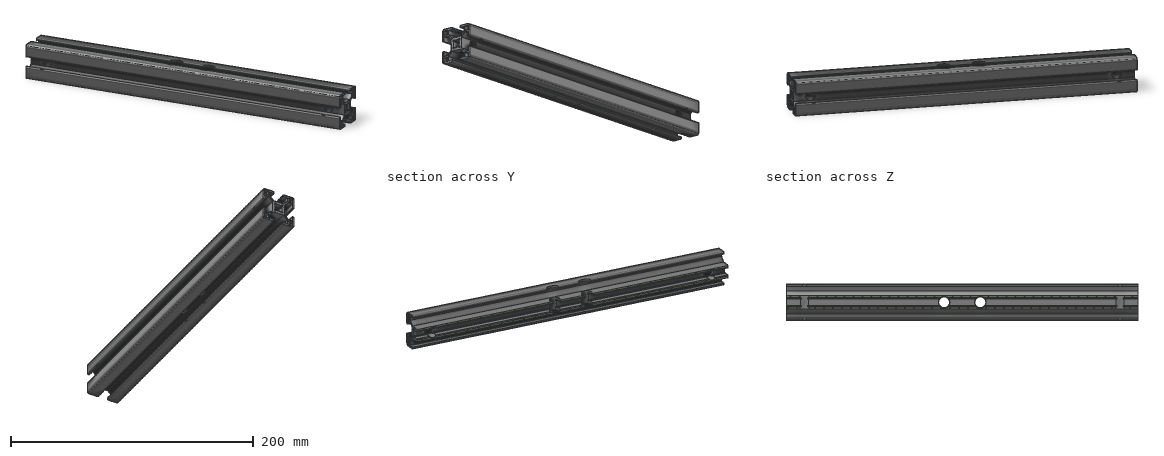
import cadquery as cq
import math

length = 290.0
side = 30.0
corner_radius = 2.46

slot_opening = 8.5
slot_inner_width = 16.8
lip_thickness = 1.88
lip_tip_radius = 1.05

core_side = 11.3
web_thickness = 1.5
bore_side = 6.5
bore_relief_radius = 0.5

cavity_side = 3.8
cavity_wall = 1.5

hole_diameter = 9.0
lip_clearance_diameter = 14.0
end_hole_inset = side / 2
top_hole_spacing = side

half_side = side / 2
lip_underside = half_side - lip_thickness
half_opening = slot_opening / 2
quarter_turns = (0, 90, 180, 270)


def extrude_along_x(sketch):
    """Extrude a cross-section over the full length of the bar."""
    return sketch.extrude(length / 2, both=True)


def section():
    """Workplane across the extrusion: local x is Y, local y is Z."""
    return cq.Workplane("YZ")


def slot():
    """Slot opening through +Z; its flanks follow the core and the diagonal webs."""
    half_inner = slot_inner_width / 2
    half_core = core_side / 2
    web_offset = web_thickness / math.sqrt(2)
    right_flank = [
        (half_core - web_offset, half_core),
        (half_inner, half_inner + web_offset),
        (half_inner, lip_underside),
        (half_opening, lip_underside),
        (half_opening, half_side),
    ]
    left_flank = [(-y, z) for y, z in reversed(right_flank)]
    return extrude_along_x(section().polyline(right_flank + left_flank).close())


def extrusion():
    """Bar with rounded edges, four slots, corner cavities and the core bore."""
    bar = extrude_along_x(section().rect(side, side)).edges("|X").fillet(corner_radius)
    for angle in quarter_turns:
        bar = bar.cut(slot().rotate((0, 0, 0), (1, 0, 0), angle))

    for angle in quarter_turns:
        turn = math.radians(angle)
        for across in (-half_opening, half_opening):
            y = across * math.cos(turn) - half_side * math.sin(turn)
            z = across * math.sin(turn) + half_side * math.cos(turn)
            nearest = cq.selectors.NearestToPointSelector((0, y, z))
            bar = bar.edges("|X").edges(nearest).fillet(lip_tip_radius)

    cavity_spacing = side - 2 * cavity_wall - cavity_side
    cavities = section().rect(cavity_spacing, cavity_spacing, forConstruction=True).vertices()
    bar = bar.cut(extrude_along_x(cavities.rect(cavity_side, cavity_side)))

    bar = bar.cut(extrude_along_x(section().rect(bore_side, bore_side)))
    reliefs = section().rect(bore_side, bore_side, forConstruction=True).vertices()
    return bar.cut(extrude_along_x(reliefs.circle(bore_relief_radius)))


def end_holes():
    """Plain holes along Y, one near each end."""
    offset = length / 2 - end_hole_inset
    centres = [(-offset, 0), (offset, 0)]
    return cq.Workplane("XZ").pushPoints(centres).circle(hole_diameter / 2).extrude(half_side, both=True)


def top_holes():
    """Holes along Z about mid-length, widened where they pass through the top lips."""
    offset = top_hole_spacing / 2
    centres = [(-offset, 0), (offset, 0)]
    shafts = cq.Workplane("XY").pushPoints(centres).circle(hole_diameter / 2).extrude(half_side, both=True)
    lip_plane = cq.Workplane("XY").workplane(offset=lip_underside)
    clearances = lip_plane.pushPoints(centres).circle(lip_clearance_diameter / 2).extrude(lip_thickness)
    return shafts.union(clearances)


result = extrusion().cut(end_holes()).cut(top_holes())